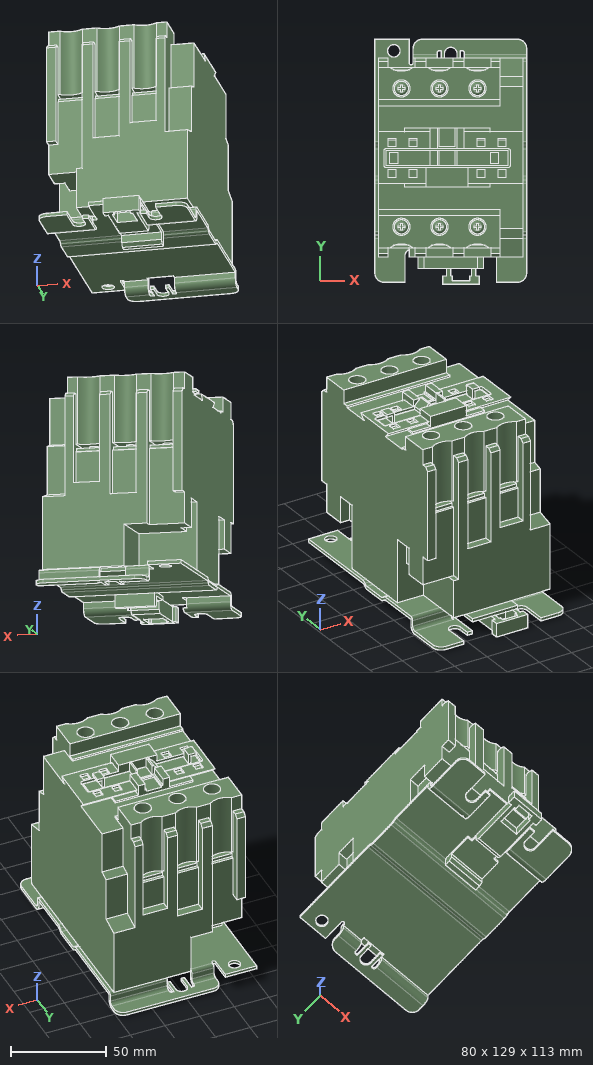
import cadquery as cq


plate_width = 80.0
plate_top = 10.0
sheet = 1.9
plate_bottom = plate_top - sheet
foot_bottom = 1.0
foot_top = foot_bottom + sheet
plate_rear_y = 62.3
total_length = 129.0
foot_corner_radius = 5.0
rear_leg_y = 52.4
front_leg_y = 40.6
tongue_half_width = 14.0
tongue_end_y = 58.5
upper_bend_radius = 1.8
lower_bend_inner = 1.9
lower_bend_outer = lower_bend_inner + sheet

housing_width = 76.1
housing_right = housing_width / 2
housing_left = -housing_right
housing_end_y = 52.4
housing_top = 104.0
housing_chamfer = 1.9

total_top = 113.0
tower_right = 25.8
tower_outer_y = 47.5
tower_inner_y = 30.5
pole_pitch = 20.0
middle_pole_x = -5.9
pole_x = [middle_pole_x + step * pole_pitch for step in (-1, 0, 1)]
channel_width = 14.2
channel_floors = [32.2, 48.9, 55.7]
first_rib_bottom = channel_floors[1]
groove_radius = 9.9
groove_axis_y = 55.3
slit_bottom = 75.0
slit_top = 77.0

carrier_x = -1.9
dovetail_top = 107.1
dovetail_half_top = 13.7
dovetail_half_foot = dovetail_half_top - (dovetail_top - housing_top)
lug_height = 1.0
cap_outer_y = 15.5
cap_top = 111.1
slider_y = -0.3
slot_half_width = 4.9
slider_top = 106.0
bar_outer = 9.0
bar_inner = 5.2
fin_inner = 4.3


def block(x_span, y_span, z_span):
    """Box between the given limits along each axis."""
    spans = (x_span, y_span, z_span)
    sizes = [high - low for low, high in spans]
    return cq.Workplane("XY").box(*sizes, centered=False).translate([low for low, high in spans])


def side_prism(points, x_span):
    """Prism with an outline of (y, z) points, running along X."""
    outline = cq.Workplane("YZ", origin=(x_span[0], 0, 0)).polyline(points).close()
    return outline.extrude(x_span[1] - x_span[0])


def rod(x, y, radius, z_span):
    """Upright cylinder."""
    base = cq.Workplane("XY", origin=(x, y, z_span[0])).circle(radius)
    return base.extrude(z_span[1] - z_span[0])


def both_ends(shape):
    """Shape together with its mirror image on the opposite Y end."""
    return shape.union(shape.mirror("XZ"))


def around(center, half):
    """Limits at equal distance on both sides of a center."""
    return (center - half, center + half)


def make_housing():
    ends = (-housing_end_y, housing_end_y)
    body = block((housing_left, housing_right), ends, (plate_top, housing_top))
    body = body.edges("|X and >Z").chamfer(housing_chamfer)

    step_inner_y = 27.2
    tower_x = (housing_left, tower_right)
    overlap_z = housing_top - housing_chamfer
    tower = block(tower_x, (tower_inner_y, tower_outer_y), (overlap_z, total_top))
    step = block(tower_x, (step_inner_y, tower_outer_y), (overlap_z, housing_top + lug_height))
    body = body.union(both_ends(tower.union(step)))

    upper_wall_y = 37.3
    lower_wall_y = 42.6
    upper_slope_z = (77.4, 79.0)
    lower_slope_z = (first_rib_bottom, 51.6)
    shoulder = [
        (upper_wall_y, housing_top),
        (upper_wall_y, upper_slope_z[1]),
        (lower_wall_y, upper_slope_z[0]),
        (lower_wall_y, lower_slope_z[1]),
        (housing_end_y, lower_slope_z[0]),
        (housing_end_y, housing_top),
    ]
    body = body.cut(both_ends(side_prism(shoulder, (tower_right, housing_right))))

    notch_top = channel_floors[0]
    front_notch_right = -21.9
    rear_notch_right = -6.5
    notch_y = 22.5
    pocket_y = 33.7
    pocket_top = 47.9
    pocket_depth = 5.5
    for notch_right, direction in ((front_notch_right, -1), (rear_notch_right, 1)):
        notch_span = sorted((direction * notch_y, direction * housing_end_y))
        body = body.cut(block((housing_left, notch_right), notch_span, (plate_top, notch_top)))
    pocket = block(
        (housing_left, housing_left + pocket_depth), (notch_y, pocket_y), (notch_top, pocket_top)
    )
    return body.cut(both_ends(pocket))


def cut_terminals(body):
    """Wire channels between the ribs, with a round screwdriver groove and a clamp slit in each."""
    clamp_bottom = 73.0
    clamp_setback = 1.5
    slit_inner_y = 31.6
    for x, channel_floor in zip(pole_x, channel_floors):
        channel_x = around(x, channel_width / 2)
        channel = block(channel_x, (tower_outer_y, housing_end_y), (channel_floor, housing_top))
        groove = rod(x, groove_axis_y, groove_radius, (slit_bottom, total_top))
        slit = block(channel_x, (slit_inner_y, tower_outer_y), (slit_bottom, slit_top))
        setback = block(
            channel_x, (tower_outer_y - clamp_setback, tower_outer_y), (clamp_bottom, slit_top)
        )
        groove = groove.intersect(block(channel_x, (0, housing_end_y), (slit_bottom, total_top)))
        body = body.cut(both_ends(channel.union(groove).union(slit).union(setback)))

    first_rib_right = pole_x[0] - channel_width / 2
    under_rib = block(
        (housing_left, first_rib_right),
        (tower_outer_y, housing_end_y),
        (channel_floors[0], first_rib_bottom),
    )
    return body.cut(both_ends(under_rib))


def add_screws(body):
    """Screw wells in the towers, each with a domed cross-head screw at its floor."""
    screw_y = 36.4
    well_radius = 4.5
    well_floor = 82.5
    head_radius = 3.7
    head_height = 2.6
    dome_radius = 1.7
    shank_radius = 2.5
    cross_length = 3.6
    cross_width = 1.0
    cross_depth = 1.3
    head_top = well_floor + head_height
    for x in pole_x:
        well = rod(x, screw_y, well_radius, (well_floor, total_top))
        head = rod(x, screw_y, head_radius, (well_floor, head_top)).edges(">Z").fillet(dome_radius)
        for size in ((cross_length, cross_width), (cross_width, cross_length)):
            bar = block(
                around(x, size[0] / 2), around(screw_y, size[1] / 2), (head_top - cross_depth, head_top)
            )
            head = head.cut(bar)
        shank = rod(x, screw_y, shank_radius, (slit_bottom, slit_top))
        body = body.cut(both_ends(well)).union(both_ends(head.union(shank)))
    return body


def make_carrier():
    """Dovetail rail with end caps, lugs, contact pits and the bridge between the rear bars."""
    rail = [
        (-dovetail_half_foot, housing_top),
        (-dovetail_half_top, dovetail_top),
        (dovetail_half_top, dovetail_top),
        (dovetail_half_foot, housing_top),
    ]
    carrier = side_prism(rail, (housing_left, housing_right))

    lug_half_length = 22.5
    lug_x = around(carrier_x, lug_half_length)
    carrier = carrier.union(
        block(lug_x, (-cap_outer_y, cap_outer_y), (housing_top, housing_top + lug_height))
    )

    front_cap_half = 11.1
    slot_front_y, slot_rear_y = around(slider_y, slot_half_width)
    rear_span = (slot_rear_y, cap_outer_y)
    front_cap = block(
        around(carrier_x, front_cap_half), (-cap_outer_y, slot_front_y), (housing_top, cap_top)
    )
    rear_cap = block(around(carrier_x, bar_outer), rear_span, (housing_top, cap_top))
    rear_gap = block(around(carrier_x, bar_inner), rear_span, (dovetail_top, cap_top))
    bridge_recess_inner_y = 5.9
    bridge_recess = block(
        around(carrier_x, fin_inner), (bridge_recess_inner_y, cap_outer_y), (slider_top, dovetail_top)
    )
    carrier = carrier.union(front_cap).union(rear_cap).cut(rear_gap).cut(bridge_recess)

    pit_offsets = (-28.9, -17.9, 17.9, 28.9)
    pit_half = 2.0
    pit_y = 8.1
    pit_lean = 0.6
    pit_depth = 1.3
    pit_floor = dovetail_top - pit_depth
    front_y = around(slider_y - pit_y, pit_half)
    rear_low, rear_high = around(slider_y + pit_y, pit_half)
    rear_pit = [
        (rear_low, pit_floor),
        (rear_low, dovetail_top),
        (rear_high, dovetail_top),
        (rear_high - pit_lean, pit_floor),
    ]
    for offset in pit_offsets:
        pit_x = around(carrier_x + offset, pit_half)
        carrier = carrier.cut(block(pit_x, front_y, (pit_floor, dovetail_top)))
        carrier = carrier.cut(side_prism(rear_pit, pit_x))
    return carrier


def add_slider(body):
    """Slider in a round-cornered slot: two tabs with outward lips, a ramp with a flat crest, and a fin."""
    slot_half_length = 33.3
    slot_corner = 1.0
    slot_floor = 105.1
    slider_half_length = 32.0
    slider_half_width = 4.0
    crest_top = 112.0
    ramp_foot = 107.8
    tab_lip_bottom = 110.4
    tab_leg = 1.4
    tab_half_width = 3.0
    lip_left = (-30.3, -25.7)
    lip_right = (22.7, 27.0)

    slot = block(
        around(carrier_x, slot_half_length),
        around(slider_y, slot_half_width),
        (slot_floor, total_top),
    )
    body = body.cut(slot.edges("|Z").fillet(slot_corner))

    slider_span = around(slider_y, slider_half_width)
    slider = block(around(carrier_x, slider_half_length), slider_span, (slot_floor, slider_top))
    leg_left = (lip_left[1] - tab_leg, lip_left[1])
    leg_right = (lip_right[0], lip_right[0] + tab_leg)
    tab_y = around(slider_y, tab_half_width)
    for lip, leg in ((lip_left, leg_left), (lip_right, leg_right)):
        lip_x = [carrier_x + offset for offset in lip]
        leg_x = [carrier_x + offset for offset in leg]
        slider = slider.union(block(leg_x, tab_y, (slot_floor, crest_top)))
        slider = slider.union(block(lip_x, tab_y, (tab_lip_bottom, crest_top)))
    ramp_points = [
        (carrier_x - bar_outer, slot_floor),
        (carrier_x - bar_outer, ramp_foot),
        (carrier_x - bar_inner, crest_top),
        (carrier_x - fin_inner, crest_top),
        (carrier_x - fin_inner, slot_floor),
    ]
    ramp_plane = cq.Workplane("XZ", origin=(0, slider_span[1], 0))
    ramp = ramp_plane.polyline(ramp_points).close().extrude(2 * slider_half_width)
    fin = block(
        (carrier_x + fin_inner, carrier_x + bar_inner), slider_span, (slot_floor, crest_top)
    )
    return body.union(slider).union(ramp).union(fin)


def bent_foot(x_span, leg_face_y, tip_y):
    """Strip that drops from the plate at leg_face_y and runs out towards +Y as a round-cornered foot."""
    start_y = leg_face_y - 2 * sheet
    leg_back_y = leg_face_y - sheet
    profile = (
        cq.Workplane("YZ", origin=(x_span[0], 0, 0))
        .moveTo(start_y, plate_top)
        .lineTo(leg_face_y - upper_bend_radius, plate_top)
        .tangentArcPoint((leg_face_y, plate_top - upper_bend_radius), relative=False)
        .lineTo(leg_face_y, foot_top + lower_bend_inner)
        .tangentArcPoint((leg_face_y + lower_bend_inner, foot_top), relative=False)
        .lineTo(tip_y, foot_top)
        .lineTo(tip_y, foot_bottom)
        .lineTo(leg_back_y + lower_bend_outer, foot_bottom)
        .tangentArcPoint((leg_back_y, foot_bottom + lower_bend_outer), relative=False)
        .lineTo(leg_back_y, plate_bottom)
        .lineTo(start_y, plate_bottom)
        .close()
    )
    strip = profile.extrude(x_span[1] - x_span[0])
    return strip.edges("|Z and >Y").fillet(foot_corner_radius)


def slot_cutter(x, half_width, end_y, open_y, floor=foot_bottom):
    """Upright cutter for a slot with a round end centered at end_y, running straight to open_y."""
    height = (floor, plate_top)
    straight = block(around(x, half_width), sorted((end_y, open_y)), height)
    return straight.union(rod(x, end_y, half_width, height))


def make_center_sheet():
    """Full-width sheet with a shallow dip across it, plus the flat front tongue."""
    dip_y = -2.6
    dip_top_half = 11.1
    dip_floor_half = 7.1
    dip_depth = sheet
    front_y = -front_leg_y + sheet
    rear_y = rear_leg_y - sheet
    bend_middle_half = (dip_top_half + dip_floor_half) / 2

    outline = (
        cq.Workplane("YZ", origin=(-plate_width / 2, 0, 0))
        .moveTo(front_y, plate_top)
        .lineTo(dip_y - dip_top_half, plate_top)
        .tangentArcPoint((dip_y - bend_middle_half, plate_top - dip_depth / 2), relative=False)
        .tangentArcPoint((dip_y - dip_floor_half, plate_top - dip_depth), relative=False)
        .lineTo(dip_y + dip_floor_half, plate_top - dip_depth)
        .tangentArcPoint((dip_y + bend_middle_half, plate_top - dip_depth / 2), relative=False)
        .tangentArcPoint((dip_y + dip_top_half, plate_top), relative=False)
        .lineTo(rear_y, plate_top)
        .lineTo(rear_y, plate_bottom)
        .lineTo(dip_y + dip_top_half, plate_bottom)
        .tangentArcPoint((dip_y + bend_middle_half, plate_bottom - dip_depth / 2), relative=False)
        .tangentArcPoint((dip_y + dip_floor_half, plate_bottom - dip_depth), relative=False)
        .lineTo(dip_y - dip_floor_half, plate_bottom - dip_depth)
        .tangentArcPoint((dip_y - bend_middle_half, plate_bottom - dip_depth / 2), relative=False)
        .tangentArcPoint((dip_y - dip_top_half, plate_bottom), relative=False)
        .lineTo(front_y, plate_bottom)
        .close()
    )
    sheet_body = outline.extrude(plate_width)
    tongue = block(
        around(0, tongue_half_width), (-tongue_end_y, front_y), (plate_bottom, plate_top)
    )
    return sheet_body.union(tongue)


def make_rear_edge():
    """Flat tab with a hole on the left and a lowered foot on the right, parted by a narrow slit.

    Also returns the slit and window openings, which continue into the center sheet.
    """
    tab_right = -21.8
    foot_left = -19.9
    hole_x = -29.9
    hole_y = 56.1
    hole_radius = 3.2
    tab = block(
        (-plate_width / 2, tab_right), (rear_leg_y - 2 * sheet, plate_rear_y), (plate_bottom, plate_top)
    )
    tab = tab.cut(rod(hole_x, hole_y, hole_radius, (plate_bottom, plate_top)))
    foot = bent_foot((foot_left, plate_width / 2), rear_leg_y, plate_rear_y)

    window_half = 7.1
    lance_half = 5.0
    window_end_y = 56.1
    lance_start_y = 47.2
    keyhole_half = 3.2
    keyhole_end_y = 54.7
    window_corner = 1.0
    window = block(
        around(0, window_half), (rear_leg_y - 2 * sheet, window_end_y), (foot_bottom, plate_top)
    )
    window = window.edges("|Z and >Y").fillet(window_corner)
    lance = block(around(0, lance_half), (lance_start_y, window_end_y), (foot_bottom, foot_top))
    keyhole = slot_cutter(0, keyhole_half, keyhole_end_y, lance_start_y)
    foot = foot.cut(window).union(lance).cut(keyhole)

    slit_x = (tab_right + foot_left) / 2
    slit_half = (foot_left - tab_right) / 2
    slit_end_y = 49.8
    slit = slot_cutter(slit_x, slit_half, slit_end_y, plate_rear_y)
    return tab.union(foot), slit.union(window)


def make_front_foot():
    """Left front foot with an open slot; the strip inside the slot is shorter than the foot."""
    foot_tip_y = 65.7
    slot_x = -20.6
    slot_half = 3.4
    slot_end_y = 51.6
    foot = bent_foot((-plate_width / 2, -tongue_half_width), front_leg_y, foot_tip_y)
    foot = foot.cut(slot_cutter(slot_x, slot_half, slot_end_y, foot_tip_y))
    strip_x = (slot_x, -tongue_half_width)
    foot = foot.cut(block(strip_x, (tongue_end_y, foot_tip_y), (foot_bottom, foot_top)))
    return foot.mirror("XZ")


def make_plate():
    rear, openings = make_rear_edge()
    front_left = make_front_foot()
    front = front_left.union(front_left.mirror("YZ"))
    plate = make_center_sheet().cut(openings).union(rear).union(front)

    relief_half = 0.97
    relief_x = tongue_half_width + relief_half
    relief_end_y = -front_leg_y + sheet
    relief_open_y = -front_leg_y - lower_bend_inner
    for x in (-relief_x, relief_x):
        plate = plate.cut(slot_cutter(x, relief_half, relief_end_y, relief_open_y, foot_top))
    return plate


def make_clip():
    """Rail clip under the plate: hook, thin web, two arms and a pull bar with a window."""
    clip_x = 5.4
    hook_half = 10.7
    arm_half = 7.7
    bar_half = 9.7
    hook_y = -13.5
    hook_length = 5.0
    jaw_y = -34.6
    web_end_y = -31.2
    window_start_y = -51.6
    bar_y = -62.2
    bar_end_y = plate_rear_y - total_length
    web_bottom = 6.0
    jaw_chamfer = 1.9
    web = [
        (hook_y, plate_bottom),
        (hook_y, 0),
        (hook_y - hook_length + jaw_chamfer, 0),
        (hook_y - hook_length, jaw_chamfer),
        (hook_y - hook_length, web_bottom),
        (web_end_y, web_bottom),
        (web_end_y, plate_bottom),
    ]
    stem = [
        (web_end_y, plate_bottom),
        (web_end_y, web_bottom),
        (jaw_y, web_bottom),
        (jaw_y, jaw_chamfer),
        (jaw_y - jaw_chamfer, 0),
        (bar_y, 0),
        (bar_y, plate_bottom),
    ]
    height = (0, plate_bottom)
    clip = side_prism(web, around(clip_x, hook_half))
    clip = clip.union(side_prism(stem, around(clip_x, arm_half)))
    clip = clip.union(block(around(clip_x, bar_half), (bar_end_y, bar_y), height))

    window_half = 5.4
    window_end_half = 4.5
    window_end_y = -64.8
    clip = clip.cut(block(around(clip_x, window_half), (bar_y, window_start_y), height))
    return clip.cut(block(around(clip_x, window_end_half), (window_end_y, bar_y), height))


housing = add_screws(cut_terminals(make_housing()))
top_gear = add_slider(make_carrier())
result = housing.union(top_gear).union(make_plate()).union(make_clip())